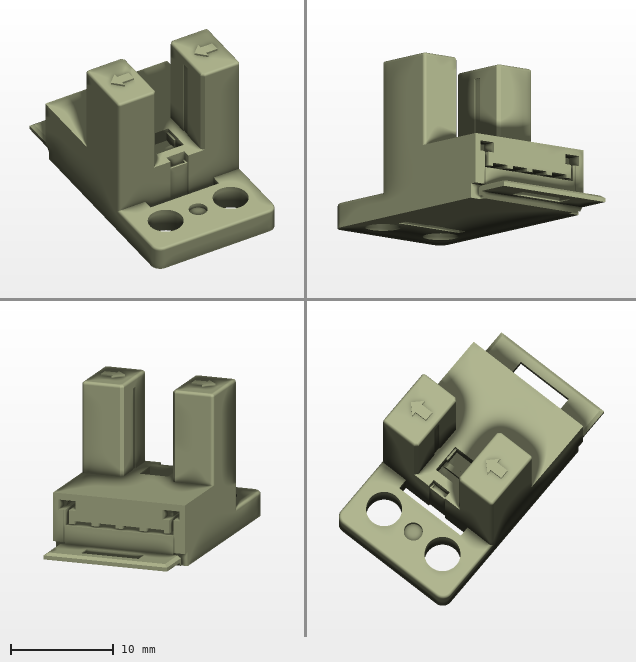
import cadquery as cq


tolerance = 0.01

body_width = 13.7
body_length = 21.5
body_height = 6.3
flange_height = 2.5
flange_corner_radius = 1.0
pillar_start_x = 7.75
pillar_end_x = 14.17
pillar_top = 15.5
pillar_width = 4.3
edge_radius = 0.3
half_width = body_width / 2
pillar_inner_y = half_width - pillar_width
pillar_mid_x = (pillar_start_x + pillar_end_x) / 2
pillar_mid_y = half_width - pillar_width / 2

mount_hole_diameter = 3.5
mount_hole_x = 17.8
mount_hole_y = 3.65
dimple_diameter = 1.85
dimple_depth = 0.5
flange_slot_width = 1.05
flange_slot_length = 7.7

catch_start_x = 13.4
catch_lip_x = 14.0
catch_width = 2.0
catch_depth = 1.0
catch_pit_length = 0.45
catch_pit_width = 1.65
catch_pit_depth = 0.3

pocket_size = 3.0
pocket_depth = 1.4
ledge_depth = 0.45
ledge_width = 0.2
ridge_offset_x = 1.4
ridge_width = 0.58
ridge_height = 0.47

aperture_width = 0.85
aperture_depth = 0.1
aperture_top = 14.5
arrow_height = 0.2
arrow_shaft_width = 1.0
arrow_head_width = 2.0
arrow_head_length = 1.0
arrow_length = 2.3

lip_length = 3.77
lip_width = 12.85
lip_bottom = 0.55
lip_top = 1.2
lip_bevel_run = 0.35
lip_bevel_drop = 0.25
lip_slot_start_x = -2.55
lip_slot_width = 1.6
lip_slot_length = 6.0
lip_root_start_x = -0.3
lip_root_end_x = 0.15
lip_root_face_height = lip_bottom * lip_root_end_x / (lip_root_end_x - lip_root_start_x)

core_half_width = 5.6
corner_notch_depth = 0.75
corner_notch_height = 1.4
side_gap_width = 0.23
side_gap_depth = 0.1
socket_depth = 3.0
socket_floor = 3.08
tongue_bottom = 3.3
tongue_half_width = 5.22
contact_count = 4
contact_pitch = 2.5
contact_width = 1.8
contact_top = 3.62
window_inner_y = 4.54
window_outer_y = 6.27
window_bottom = 4.65
window_top = 5.64
window_depth = 1.5
hook_inner_y = 5.04
hook_outer_y = 6.05
hook_slope_y = 5.5
hook_shoulder = 4.91
hook_top = 5.48


def box(x_range, y_range, z_range):
    """Block spanning the given (low, high) ranges."""
    size = [high - low for low, high in (x_range, y_range, z_range)]
    corner = (x_range[0], y_range[0], z_range[0])
    return cq.Workplane("XY").box(*size, centered=False).translate(corner)


def centered_box(x_range, width, z_range):
    """Block that straddles the mid plane."""
    return box(x_range, (-width / 2, width / 2), z_range)


def both_sides(shape):
    """The shape together with its mirror image across the mid plane."""
    return shape.union(shape.mirror("XZ"))


def make_shell():
    """Body, two pillars and flange, with rounded edges."""
    shell = centered_box((0, pillar_end_x), body_width, (0, body_height))
    flange = centered_box((pillar_start_x, body_length), body_width, (0, flange_height))
    shell = shell.union(flange.edges("|Z and >X").fillet(flange_corner_radius))
    pillar = box((pillar_start_x, pillar_end_x), (pillar_inner_y, half_width), (0, pillar_top))
    pillar = pillar.edges("|Z and <Y").chamfer(edge_radius)
    shell = shell.union(both_sides(pillar)).clean()

    pillar_tops = cq.selectors.BoxSelector(
        (pillar_start_x - tolerance, -body_width, pillar_top - tolerance),
        (pillar_end_x + tolerance, body_width, pillar_top + tolerance),
    )
    left_corners = cq.selectors.BoxSelector(
        (pillar_start_x - tolerance, half_width - tolerance, body_height + tolerance),
        (pillar_end_x + tolerance, half_width + tolerance, pillar_top - tolerance),
    )
    right_corners = cq.selectors.BoxSelector(
        (pillar_start_x - tolerance, -half_width - tolerance, body_height + tolerance),
        (pillar_end_x + tolerance, -half_width + tolerance, pillar_top - tolerance),
    )
    flange_rim = cq.selectors.BoxSelector(
        (pillar_end_x + tolerance, -body_width, flange_height - tolerance),
        (body_length + tolerance, body_width, flange_height + tolerance),
    )
    rounded_edges = pillar_tops + left_corners + right_corners + flange_rim
    return shell.edges(rounded_edges).fillet(edge_radius)


def make_arrows():
    """Raised arrows on the pillar tops, both pointing toward -Y."""
    tail_y = arrow_length / 2
    shoulder_y = arrow_head_length - arrow_length / 2
    shaft_x = arrow_shaft_width / 2
    head_x = arrow_head_width / 2
    outline = [
        (-shaft_x, tail_y),
        (shaft_x, tail_y),
        (shaft_x, shoulder_y),
        (head_x, shoulder_y),
        (0, -arrow_length / 2),
        (-head_x, shoulder_y),
        (-shaft_x, shoulder_y),
    ]
    arrow = cq.Workplane("XY").polyline(outline).close().extrude(arrow_height)
    left = arrow.translate((pillar_mid_x, pillar_mid_y, pillar_top))
    right = arrow.translate((pillar_mid_x, -pillar_mid_y, pillar_top))
    return left.union(right)


def make_apertures():
    """Vertical grooves in the facing sides of the pillars."""
    groove = box(
        (pillar_mid_x - aperture_width / 2, pillar_mid_x + aperture_width / 2),
        (pillar_inner_y, pillar_inner_y + aperture_depth),
        (body_height, aperture_top),
    )
    return both_sides(groove)


def make_flange_openings():
    """Two mounting holes, a dimple between them and a slot beside the body."""
    holes = (
        cq.Workplane("XY")
        .pushPoints([(mount_hole_x, mount_hole_y), (mount_hole_x, -mount_hole_y)])
        .circle(mount_hole_diameter / 2)
        .extrude(flange_height)
    )
    dimple = (
        cq.Workplane("XY", origin=(mount_hole_x, 0, flange_height - dimple_depth))
        .circle(dimple_diameter / 2)
        .extrude(dimple_depth)
    )
    slot_x = (pillar_end_x, pillar_end_x + flange_slot_width)
    slot = centered_box(slot_x, flange_slot_length, (0, flange_height))
    return holes.union(dimple).union(slot)


def make_catch():
    """Stepped notch in the body wall that opens into the flange slot."""
    floor = body_height - catch_depth
    notch = centered_box((catch_start_x, pillar_end_x), catch_width, (floor, body_height))
    passage = centered_box((catch_lip_x, pillar_end_x), catch_width, (0, body_height))
    pit_x = (catch_start_x, catch_start_x + catch_pit_length)
    pit = centered_box(pit_x, catch_pit_width, (floor - catch_pit_depth, floor))
    return notch.union(passage).union(pit)


def make_pocket():
    """Square pocket with a ledge along two sides and a ridge with sloping ends."""
    start_x = pillar_mid_x - pocket_size / 2
    floor = body_height - pocket_depth
    pocket = centered_box((start_x, start_x + pocket_size), pocket_size, (floor, body_height))

    ridge_x = start_x + ridge_offset_x
    ledge_y = (pocket_size / 2 - ledge_width, pocket_size / 2)
    ledge = box((start_x, ridge_x), ledge_y, (floor, body_height - ledge_depth))

    base_y = pocket_size / 2
    crest_y = base_y - ridge_height
    crest = floor + ridge_height
    ridge = (
        cq.Workplane("YZ", origin=(ridge_x, 0, 0))
        .polyline([(-base_y, floor), (base_y, floor), (crest_y, crest), (-crest_y, crest)])
        .close()
        .extrude(ridge_width)
    )
    return pocket.cut(both_sides(ledge)).cut(ridge)


def make_lip():
    """Slotted lip with a bevelled upper rim and a sloping root below."""
    bevel_z = lip_top - lip_bevel_drop
    lip = centered_box((-lip_length, 0), lip_width, (lip_bottom, bevel_z))
    rim = (
        cq.Workplane("XY", origin=(0, 0, bevel_z))
        .rect(2 * lip_length, lip_width)
        .workplane(offset=lip_bevel_drop)
        .rect(2 * (lip_length - lip_bevel_run), lip_width - 2 * lip_bevel_run)
        .loft()
        .intersect(centered_box((-lip_length, 0), lip_width, (bevel_z, lip_top)))
    )
    root = (
        cq.Workplane("XZ")
        .polyline([(lip_root_start_x, lip_bottom), (0, lip_bottom), (0, lip_root_face_height)])
        .close()
        .extrude(lip_width / 2, both=True)
    )
    slot_x = (lip_slot_start_x, lip_slot_start_x + lip_slot_width)
    slot = centered_box(slot_x, lip_slot_length, (lip_bottom, lip_top))
    return lip.union(rim).union(root).cut(slot)


def make_core_bevel():
    """Bevel on the lower front edge of the connector core, in line with the lip root."""
    return (
        cq.Workplane("XZ")
        .polyline([(0, 0), (lip_root_end_x, 0), (0, lip_root_face_height)])
        .close()
        .extrude(core_half_width, both=True)
    )


def make_socket():
    """U-shaped gap around the connector tongue, with contact notches and latch windows."""
    depth = (0, socket_depth)
    socket = centered_box(depth, 2 * core_half_width, (socket_floor, tongue_bottom))
    for index in range(contact_count):
        y = (index - (contact_count - 1) / 2) * contact_pitch
        contact_y = (y - contact_width / 2, y + contact_width / 2)
        socket = socket.union(box(depth, contact_y, (socket_floor, contact_top)))

    stem = box(depth, (tongue_half_width, core_half_width), (socket_floor, window_bottom))
    hook = (
        cq.Workplane("YZ")
        .moveTo(hook_inner_y, window_bottom)
        .lineTo(hook_outer_y, window_bottom)
        .lineTo(hook_outer_y, hook_shoulder)
        .lineTo(hook_slope_y, hook_top)
        .lineTo(hook_inner_y, hook_top)
        .close()
        .extrude(socket_depth)
    )
    window = box((0, window_depth), (window_inner_y, window_outer_y), (window_bottom, window_top))
    return socket.union(both_sides(stem.union(hook).union(window)))


def make_face_reliefs():
    """Lower corner notches and the narrow gaps above them beside the connector core."""
    notch_y = (core_half_width, half_width)
    notch = box((0, corner_notch_depth), notch_y, (0, corner_notch_height))
    gap_y = (core_half_width, core_half_width + side_gap_width)
    gap = box((0, side_gap_depth), gap_y, (corner_notch_height, window_bottom))
    return both_sides(notch.union(gap))


result = make_shell()
result = result.cut(make_apertures())
result = result.cut(make_flange_openings())
result = result.cut(make_catch())
result = result.cut(make_pocket())
result = result.cut(make_socket())
result = result.cut(make_face_reliefs())
result = result.cut(make_core_bevel())
result = result.union(make_lip())
result = result.union(make_arrows())